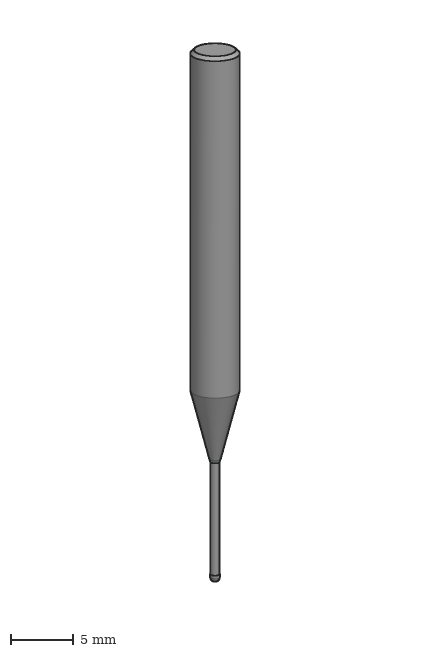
import cadquery as cq

total_length = 45.0
shank_diameter = 4.0
shank_chamfer = 0.3
shank_bottom = 16.2
taper_bottom = 10.4
taper_end_diameter = 0.95
neck_top = 10.12
neck_diameter = 0.75
tip_diameter = 0.8
tip_length = 0.65

shank_radius = shank_diameter / 2
taper_end_radius = taper_end_diameter / 2
neck_radius = neck_diameter / 2
tip_radius = tip_diameter / 2


def make_holder():
    """Chamfered shank, taper and slender neck, ending on top of the tip."""
    return (
        cq.Workplane("XZ")
        .moveTo(0, tip_length)
        .lineTo(neck_radius, tip_length)
        .lineTo(neck_radius, neck_top)
        .lineTo(taper_end_radius, taper_bottom)
        .lineTo(shank_radius, shank_bottom)
        .lineTo(shank_radius, total_length - shank_chamfer)
        .lineTo(shank_radius - shank_chamfer, total_length)
        .lineTo(0, total_length)
        .close()
        .revolve(360, (0, 0, 0), (0, 1, 0))
    )


def make_cutting_tip():
    """Short cylinder with a hemispherical lower end."""
    return (
        cq.Workplane("XZ")
        .lineTo(0, tip_length)
        .lineTo(tip_radius, tip_length)
        .lineTo(tip_radius, tip_radius)
        .radiusArc((0, 0), tip_radius)
        .close()
        .revolve(360, (0, 0, 0), (0, 1, 0))
    )


holder = make_holder()
cutting_tip = make_cutting_tip()

result = cq.Compound.makeCompound([holder.val(), cutting_tip.val()])